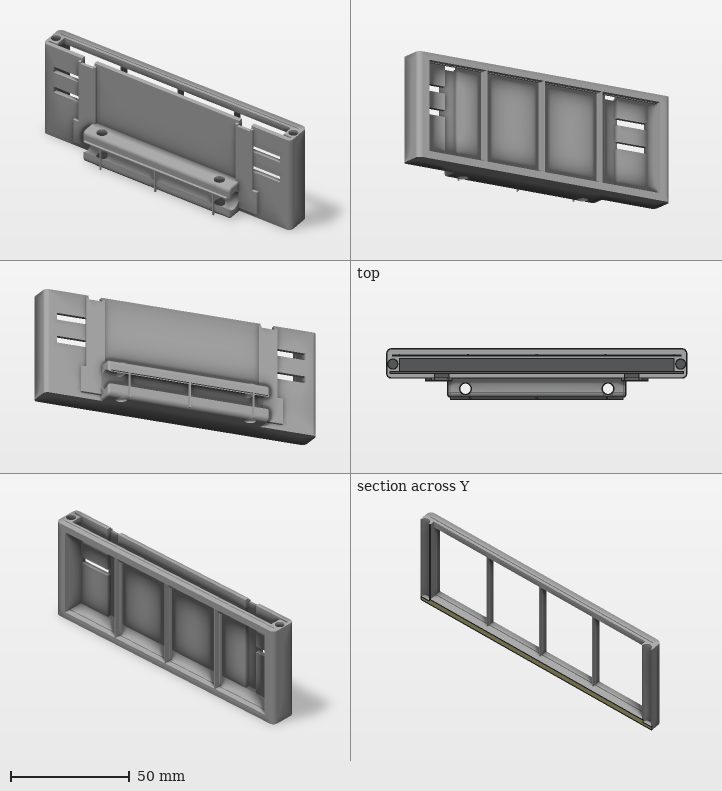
import cadquery as cq
body_length = 126.4
body_depth = 12.4
body_height = 46.4
front_corner_radius = 2.0
back_corner_radius = 2.2
floor_thickness = 2.0

front_wall = 2.0
panel_slit_length = 123.6
panel_slit_width = 0.8
pocket_length = 115.6
back_wall = 4.2
back_slit_length = 121.6
back_slit_width = 0.4
back_slit_setback = 2.6
pin_diameter = 4.2
pin_x = 60.6
pin_y = 5.9

window_margin = 3.2
window_fin_thickness = 0.5
bay_count = 4

slot_height = 3.0
slot_bottoms = (23.0, 33.3)
slot_inner_x = 40.0

arm_thickness = 1.2
arm_inner_x = 35.7
arm_outer_x = 44.4
arm_top_gap = 1.2
foot_outer_x = 46.9
foot_bottom = 2.4
foot_top = 14.1
arm_bevel_depth = 0.4
arm_bevel_inset = 0.15
notch_width = 6.2
notch_depth = 2.0

clip_length = 75.0
clip_depth = 8.0
clip_height = 16.0
clip_edge_radius = 2.0
clip_end_radius = 1.0
bore_radius = 4.2
bore_depth = 4.8
screw_diameter = 4.8
screw_x = 30.0
screw_depth = 4.5

ledge_length = 72.8
ledge_thickness = 0.3
ledge_top = 11.4
support_reach = 1.0
support_fin_thickness = 0.5
support_fin_spacing = 28.8
outer_fin_shift = 0.8

pocket_front = front_wall + panel_slit_width
pocket_back = body_depth - back_wall
notch_x = (arm_inner_x + arm_outer_x) / 2


def block(x_range, y_range, z_range):
    """Box spanning the given (low, high) ranges."""
    size = [high - low for low, high in (x_range, y_range, z_range)]
    corner = (x_range[0], y_range[0], z_range[0])
    return cq.Workplane("XY").box(*size, centered=False).translate(corner)


def centred_block(length, y_range, z_range, x=0.0):
    """Box of the given length, centred at x."""
    return block((x - length / 2, x + length / 2), y_range, z_range)


def both_sides(solid):
    """The solid together with its mirror image across x = 0."""
    return solid.union(solid.mirror("YZ"))


def make_body():
    outline = centred_block(body_length, (0, body_depth), (0, body_height))
    outline = outline.edges("|Z and <Y").fillet(front_corner_radius)
    return outline.edges("|Z and >Y").fillet(back_corner_radius)


def make_cavities():
    z_range = (floor_thickness, body_height)
    back_slit_back = body_depth - back_slit_setback
    panel_slit = centred_block(panel_slit_length, (front_wall, pocket_front), z_range)
    pocket = centred_block(pocket_length, (front_wall, pocket_back), (window_margin, body_height))
    back_slit = centred_block(back_slit_length, (back_slit_back - back_slit_width, back_slit_back), z_range)
    pins = (
        cq.Workplane("XY", origin=(0, 0, floor_thickness))
        .pushPoints([(-pin_x, pin_y), (pin_x, pin_y)])
        .circle(pin_diameter / 2)
        .extrude(body_height - floor_thickness)
    )
    return panel_slit.union(pocket).union(back_slit).union(pins)


def make_window():
    y_range = (pocket_back, body_depth)
    z_range = (window_margin, body_height - window_margin)
    window = centred_block(pocket_length, y_range, z_range)
    bay_pitch = pocket_length / bay_count
    for i in range(1, bay_count):
        fin_x = -pocket_length / 2 + i * bay_pitch
        window = window.cut(centred_block(window_fin_thickness, y_range, z_range, fin_x))
    return window


def make_front_slots():
    slots = cq.Workplane("XY")
    for bottom in slot_bottoms:
        z_range = (bottom, bottom + slot_height)
        slots = slots.add(block((slot_inner_x, pocket_length / 2), (0, front_wall), z_range))
    return both_sides(slots.combine())


def make_arms():
    arm_top = body_height - arm_top_gap
    notch_bottom = body_height - notch_depth
    notch_inner_x = notch_x - notch_width / 2
    notch_outer_x = notch_x + notch_width / 2
    outline = [
        (arm_inner_x, foot_bottom),
        (foot_outer_x, foot_bottom),
        (foot_outer_x, foot_top),
        (arm_outer_x, foot_top),
        (arm_outer_x, arm_top),
        (notch_outer_x, arm_top),
        (notch_outer_x, notch_bottom),
        (notch_inner_x, notch_bottom),
        (notch_inner_x, arm_top),
        (arm_inner_x, arm_top),
    ]
    arm = cq.Workplane("XZ").polyline(outline).close().extrude(arm_thickness)
    return both_sides(arm.faces("<Y").chamfer(arm_bevel_depth, arm_bevel_inset))


def make_channels():
    """Channels through the front wall behind the arms, open at the top."""
    z_range = (foot_bottom, body_height)
    return both_sides(centred_block(notch_width, (0, front_wall), z_range, notch_x))


def make_screw_holes():
    return (
        cq.Workplane("XY")
        .pushPoints([(-screw_x, -screw_depth), (screw_x, -screw_depth)])
        .circle(screw_diameter / 2)
        .extrude(clip_height)
    )


def make_bore():
    start = (-clip_length / 2, -bore_depth, clip_height / 2)
    return (
        cq.Workplane(cq.Plane(origin=start, xDir=(0, -1, 0), normal=(1, 0, 0)))
        .circle(bore_radius)
        .extrude(clip_length)
    )


def make_clip():
    clip = centred_block(clip_length, (-clip_depth, 0), (0, clip_height))
    clip = clip.cut(make_screw_holes())
    clip = clip.edges("|X and <Y").fillet(clip_edge_radius)
    return clip.faces("<X or >X").edges("not >Y").fillet(clip_end_radius)


def make_supports():
    y_range = (-clip_depth - support_reach, -clip_depth)
    supports = centred_block(ledge_length, y_range, (ledge_top - ledge_thickness, ledge_top))
    left_fin_x = outer_fin_shift - support_fin_spacing
    right_fin_x = outer_fin_shift + support_fin_spacing
    for fin_x in (left_fin_x, 0, right_fin_x):
        fin = centred_block(support_fin_thickness, y_range, (0, ledge_top), fin_x)
        supports = supports.union(fin)
    return supports


case = make_body().cut(make_cavities()).cut(make_window())
case = case.cut(make_front_slots()).cut(make_channels())
front_features = make_arms().union(make_clip()).cut(make_bore()).union(make_supports())
result = case.union(front_features)